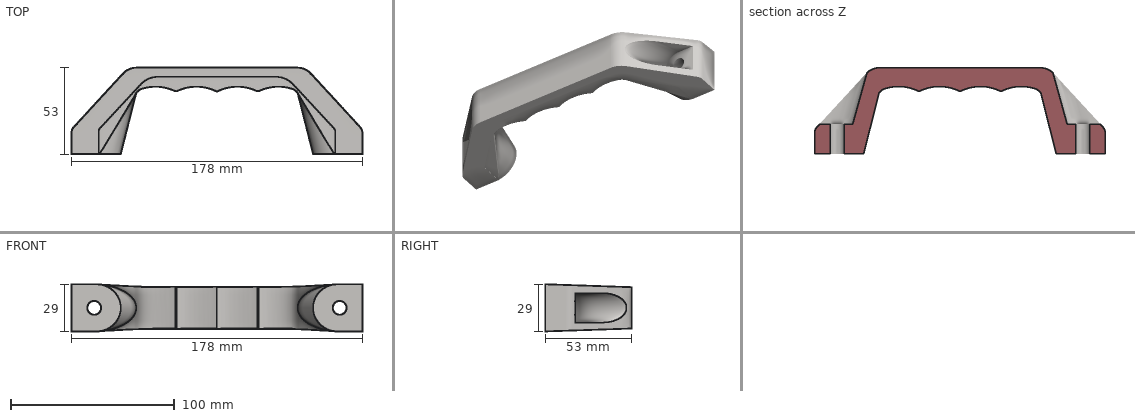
import cadquery as cq
import math

LENGTH = 178.0
HEIGHT = 53.0
BASE_WIDTH = 29.0
DRAFT_ANGLE = 1.95

FOOT_HEIGHT = 15.0
TOP_HALF_LENGTH = 54.0
TOP_CORNER_RADIUS = 11.4
FOOT_CORNER_RADIUS = 5.5

LEG_INNER_BASE_X = 71.6
LEG_CORNER_X = 48.3
LEG_CORNER_RADIUS = 6.5
SCALLOP_PITCH = 25.0
CUSP_Y = 38.2
CREST_Y = 41.2
CUSP_LAND = 0.9

PANEL_FOOT_X = 72.3
PANEL_FOOT_Y = 15.0
PANEL_TOP_X = 42.3
PANEL_TOP_Y = 47.3
PANEL_CORNER_RADIUS = 14.0
PANEL_FOOT_RADIUS = 3.0
PANEL_DEPTH = 0.15
OPENING_EDGE_RADIUS = 0.4

BOSS_RADIUS = 14.4
BOSS_CENTRE_X = 73.6
BOSS_LEAN = 14.2
BOSS_HEIGHT = 40.0

HOLE_X = 75.0
HOLE_DIAMETER = 8.3
POCKET_WIDTH = 18.0
POCKET_FLOOR_Y = 18.4
POCKET_LEAN = 15.5

MARGIN = 20.0


def both_sides(body):
    """Body together with its mirror image in the plane x = 0."""
    return body.union(body.mirror("YZ"))


def prism(sketch, width):
    """Closed outline in XY, extruded equally to both sides of z = 0."""
    return sketch.extrude(width / 2, both=True)


def side_edges(body, x, y):
    """The edges parallel to Z through (x, y) and (-x, y)."""
    reach = 0.1
    low = (x - reach, y - reach, -BASE_WIDTH)
    high = (x + reach, y + reach, BASE_WIDTH)
    right_box = cq.selectors.BoxSelector(low, high)
    left_box = cq.selectors.BoxSelector((-low[0], *low[1:]), (-high[0], *high[1:]))
    return body.edges("|Z").edges(right_box + left_box)


def outer_hull():
    """Outer outline without the hand opening."""
    half = LENGTH / 2
    points = [
        (-half, 0),
        (-half, FOOT_HEIGHT),
        (-TOP_HALF_LENGTH, HEIGHT),
        (TOP_HALF_LENGTH, HEIGHT),
        (half, FOOT_HEIGHT),
        (half, 0),
    ]
    hull = prism(cq.Workplane("XY").polyline(points).close(), BASE_WIDTH)
    hull = side_edges(hull, TOP_HALF_LENGTH, HEIGHT).fillet(TOP_CORNER_RADIUS)
    return side_edges(hull, half, FOOT_HEIGHT).fillet(FOOT_CORNER_RADIUS)


def scallop_y(distance):
    """Height of a scallop at a distance along X from its crest."""
    rise = CREST_Y - CUSP_Y
    radius = ((SCALLOP_PITCH / 2) ** 2 + rise**2) / (2 * rise)
    return CREST_Y - radius + math.sqrt(radius**2 - distance**2)


def hand_opening():
    """Opening between the legs, scalloped for four fingers."""
    inner_crest = SCALLOP_PITCH / 2
    outer_crest = inner_crest + SCALLOP_PITCH
    land_y = scallop_y(inner_crest - CUSP_LAND / 2)
    land_inner = (SCALLOP_PITCH - CUSP_LAND / 2, land_y)
    land_outer = (SCALLOP_PITCH + CUSP_LAND / 2, land_y)
    corner = (LEG_CORNER_X, scallop_y(LEG_CORNER_X - outer_crest))
    half_outline = (
        cq.Workplane("XY")
        .moveTo(0, 0)
        .lineTo(0, CUSP_Y)
        .threePointArc((inner_crest, CREST_Y), land_inner)
        .lineTo(*land_outer)
        .threePointArc((outer_crest, CREST_Y), corner)
        .lineTo(LEG_INNER_BASE_X, 0)
        .close()
    )
    half_opening = prism(half_outline, BASE_WIDTH + MARGIN)
    half_opening = side_edges(half_opening, *corner).fillet(LEG_CORNER_RADIUS)
    return both_sides(half_opening)


def leg_boss():
    """Leaning cylinder that rounds the inside of the left leg."""
    reach = HEIGHT + MARGIN
    boss = (
        cq.Workplane("XZ")
        .center(-BOSS_CENTRE_X, 0)
        .circle(BOSS_RADIUS)
        .extrude(reach, both=True)
        .rotate((-BOSS_CENTRE_X, 0, 0), (-BOSS_CENTRE_X, 0, 1), -BOSS_LEAN)
    )
    limit = cq.Workplane("XY").box(LENGTH, BOSS_HEIGHT, BASE_WIDTH, centered=(True, False, True))
    return boss.intersect(limit)


def side_cutter():
    """Material outside the tapered +Z side, including its sunken panel."""
    tilt = math.radians(DRAFT_ANGLE)
    side = cq.Plane(
        origin=(0, 0, BASE_WIDTH / 2),
        xDir=(1, 0, 0),
        normal=(0, math.sin(tilt), math.cos(tilt)),
    )
    slab = cq.Workplane(side).rect(LENGTH + MARGIN, 2 * (HEIGHT + MARGIN)).extrude(MARGIN)
    points = [
        (-PANEL_FOOT_X, -MARGIN),
        (-PANEL_FOOT_X, PANEL_FOOT_Y),
        (-PANEL_TOP_X, PANEL_TOP_Y),
        (PANEL_TOP_X, PANEL_TOP_Y),
        (PANEL_FOOT_X, PANEL_FOOT_Y),
        (PANEL_FOOT_X, -MARGIN),
    ]
    panel = prism(cq.Workplane("XY").polyline(points).close(), 2 * PANEL_DEPTH)
    panel = side_edges(panel, PANEL_TOP_X, PANEL_TOP_Y).fillet(PANEL_CORNER_RADIUS)
    panel = side_edges(panel, PANEL_FOOT_X, PANEL_FOOT_Y).fillet(PANEL_FOOT_RADIUS)
    tilted_panel = panel.val().moved(cq.Location(side))
    return slab.union(cq.Workplane(tilted_panel))


def round_opening_edges(body):
    """Round the rim of the hand opening on both broad sides."""
    reach = LEG_INNER_BASE_X - BOSS_RADIUS / 2
    wall_centres = cq.selectors.BoxSelector((-reach, 0, -1), (reach, CREST_Y, 1))
    return body.faces(wall_centres).edges("not |Z").fillet(OPENING_EDGE_RADIUS)


def screw_seat():
    """Screw hole and leaning head pocket, open to the outside of the left leg."""
    reach = HEIGHT + MARGIN
    hole = cq.Workplane("XZ").center(-HOLE_X, 0).circle(HOLE_DIAMETER / 2).extrude(-reach)
    half = POCKET_WIDTH / 2
    pocket = (
        cq.Workplane("XZ")
        .moveTo(-HOLE_X - MARGIN * 2, -half)
        .lineTo(-HOLE_X, -half)
        .threePointArc((-HOLE_X + half, 0), (-HOLE_X, half))
        .lineTo(-HOLE_X - MARGIN * 2, half)
        .close()
        .extrude(reach, both=True)
        .rotate((-HOLE_X, POCKET_FLOOR_Y, 0), (-HOLE_X, POCKET_FLOOR_Y, 1), -POCKET_LEAN)
    )
    above_floor = (
        cq.Workplane("XY")
        .box(LENGTH + 2 * MARGIN, HEIGHT, BASE_WIDTH, centered=(True, False, True))
        .translate((0, POCKET_FLOOR_Y, 0))
    )
    return hole.union(pocket.intersect(above_floor))


cutter = side_cutter()
hull = outer_hull().cut(cutter).cut(cutter.mirror("XY"))
frame = round_opening_edges(hull.cut(hand_opening()))
bosses = both_sides(leg_boss()).intersect(hull)
result = frame.union(bosses).cut(both_sides(screw_seat()))